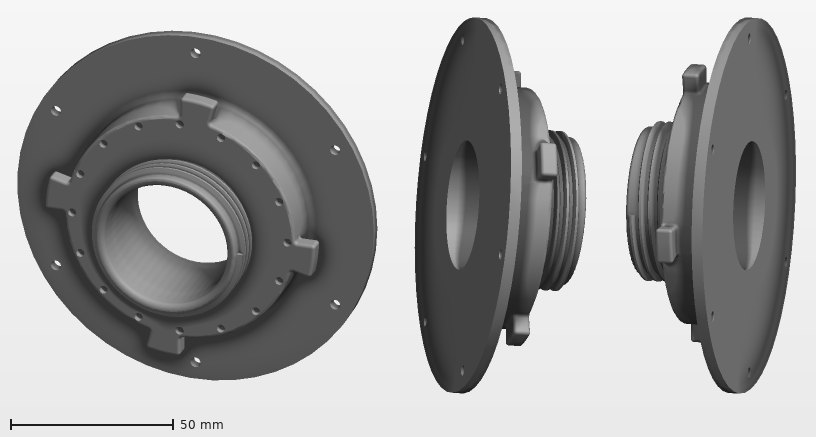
import cadquery as cq
import math


flange_radius = 58.0
flange_thickness = 3.5
screw_hole_count = 6
screw_circle_radius = 52.4
screw_hole_diameter = 3.2

hub_radius = 37.4
hub_front = 18.8
hub_base_fillet = 2.0
edge_fillet = 1.0
index_hole_count = 16
index_circle_radius = 35.0
index_hole_diameter = 2.7
index_hole_depth = 2.0

tab_count = 4
tab_angle = 14.7
tab_outer_radius = 43.8
tab_embed = 4.1
tab_inner_radius = hub_radius - tab_embed
tab_thickness = 5.3
tab_back = hub_front - tab_thickness

total_length = 33.5
neck_radius = 23.0
bore_radius = 20.0
mouth_outer_fillet = edge_fillet
mouth_inner_fillet = neck_radius - bore_radius - mouth_outer_fillet

thread_pitch = 3.0
thread_turns = 10 / 3
thread_start = 21.5
thread_start_angle = -120.0
thread_crest_radius = 24.7
thread_embed = 0.3
thread_root_radius = neck_radius - thread_embed
thread_root_width = 2.3
thread_crest_width = 0.7

tolerance = 0.01


def polar_point(radius, angle):
    """Point at a radius and an angle in degrees."""
    return (radius * math.cos(math.radians(angle)), radius * math.sin(math.radians(angle)))


def cylinder(radius, length):
    return cq.Workplane("XY").circle(radius).extrude(length)


def make_tab(start_angle):
    """Ring sector running clockwise from start_angle, rounded everywhere but on its front face."""
    end_angle = start_angle - tab_angle
    middle_angle = start_angle - tab_angle / 2
    return (
        cq.Workplane("XY").workplane(offset=tab_back)
        .moveTo(*polar_point(tab_inner_radius, start_angle))
        .lineTo(*polar_point(tab_outer_radius, start_angle))
        .threePointArc(polar_point(tab_outer_radius, middle_angle), polar_point(tab_outer_radius, end_angle))
        .lineTo(*polar_point(tab_inner_radius, end_angle))
        .close()
        .extrude(tab_thickness)
        .edges("not(>Z)").fillet(edge_fillet)
    )


def is_tab_root(edge):
    """True for an edge where a tab meets the hub wall, behind the front face."""
    box = edge.BoundingBox()
    beside_tab = tab_back - tolerance < box.zmin < hub_front - tolerance
    points = [edge.positionAt(position) for position in (0.2, 0.5, 0.8)]
    on_wall = all(abs(math.hypot(point.x, point.y) - hub_radius) < tolerance for point in points)
    return beside_tab and on_wall


def make_hub():
    """Hub drum with bayonet tabs, rounded tab roots and a rounded front edge."""
    hub = cylinder(hub_radius, hub_front)
    for index in range(tab_count):
        hub = hub.union(make_tab(index * 360 / tab_count))
    tab_roots = [edge for edge in hub.edges().vals() if is_tab_root(edge)]
    hub = hub.newObject(tab_roots).fillet(edge_fillet)
    return hub.faces(">Z").edges().fillet(edge_fillet)


def make_flange():
    """Flange disc with the concave fillet ring that leads up to the hub wall."""
    fillet_outer = hub_radius + hub_base_fillet
    fillet_top = flange_thickness + hub_base_fillet
    diagonal = hub_base_fillet * (1 - math.sqrt(0.5))
    return (
        cq.Workplane("XZ")
        .lineTo(flange_radius, 0)
        .lineTo(flange_radius, flange_thickness)
        .lineTo(fillet_outer, flange_thickness)
        .threePointArc((hub_radius + diagonal, flange_thickness + diagonal), (hub_radius, fillet_top))
        .lineTo(0, fillet_top)
        .close()
        .revolve(360, (0, 0, 0), (0, 1, 0))
    )


def make_thread():
    """Right-handed trapezoidal ridge wound around the neck."""
    helix = cq.Wire.makeHelix(thread_pitch, thread_pitch * thread_turns, thread_root_radius)
    ridge = (
        cq.Workplane("XZ")
        .moveTo(thread_root_radius, -thread_root_width / 2)
        .lineTo(thread_crest_radius, -thread_crest_width / 2)
        .lineTo(thread_crest_radius, thread_crest_width / 2)
        .lineTo(thread_root_radius, thread_root_width / 2)
        .close()
        .sweep(cq.Workplane(helix), isFrenet=True)
    )
    return ridge.rotate((0, 0, 0), (0, 0, 1), thread_start_angle).translate((0, 0, thread_start))


def bore_with_rounded_mouth():
    """Through bore together with the material removed around the rounded mouth of the neck."""
    crest_radius = bore_radius + mouth_inner_fillet
    arc_start = total_length - mouth_inner_fillet
    diagonal = mouth_inner_fillet * (1 - math.sqrt(0.5))
    return (
        cq.Workplane("XZ")
        .lineTo(bore_radius, 0)
        .lineTo(bore_radius, arc_start)
        .threePointArc((bore_radius + diagonal, total_length - diagonal), (crest_radius, total_length))
        .lineTo(0, total_length)
        .close()
        .revolve(360, (0, 0, 0), (0, 1, 0))
    )


def hole_ring(count, circle_radius, diameter, start, depth):
    """Ring of equally spaced hole cylinders."""
    return (
        cq.Workplane("XY").workplane(offset=start)
        .polarArray(circle_radius, 90, 360, count)
        .circle(diameter / 2)
        .extrude(depth)
    )


neck = cylinder(neck_radius, total_length).faces(">Z").edges().fillet(mouth_outer_fillet)
threaded_neck = neck.union(make_thread())
body = make_flange().union(make_hub()).union(threaded_neck)
body = body.cut(bore_with_rounded_mouth())
body = body.cut(hole_ring(screw_hole_count, screw_circle_radius, screw_hole_diameter, 0, flange_thickness))
body = body.cut(
    hole_ring(
        index_hole_count, index_circle_radius, index_hole_diameter,
        hub_front - index_hole_depth, index_hole_depth,
    )
)

result = body.rotate((0, 0, 0), (1, 0, 0), 90)